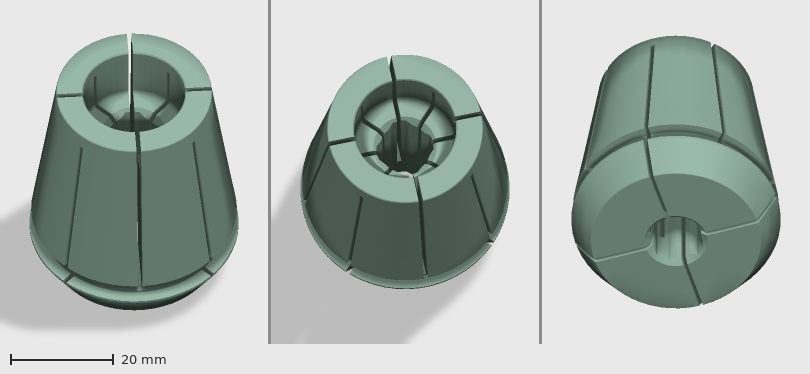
import cadquery as cq
import math

height = 46.0
flange_radius = 40.8 / 2

flange_top = 7.15
flange_rim_height = 0.55
nose_angle = 30.0
nose_edge_fillet = 0.25

groove_radius = 18.1
groove_top = 11.22
groove_fillet = 0.25

body_radius = 20.05
taper_angle = 8.0
top_edge_fillet = 0.3

bore_radius = 10.0
bore_floor = 34.25
bore_floor_fillet = 0.9
bore_mouth_chamfer = 0.25

square_side = 9.55
pilot_radius = 4.95
shank_radius = 5.55
mouth_radius = 6.15

slot_width = 0.87
nose_slot_top = 43.15
rear_slot_floor = 7.6

rim_bottom = flange_top - flange_rim_height
nose_radius = flange_radius - rim_bottom * math.tan(math.radians(nose_angle))
top_radius = body_radius - (height - groove_top) * math.tan(math.radians(taper_angle))
slot_length = 2 * height
mouth_depth = mouth_radius - square_side / 2


def cone(start_radius, end_radius, start_z, rise):
    """Truncated cone along Z; a negative rise points it downward."""
    direction = cq.Vector(0, 0, math.copysign(1, rise))
    solid = cq.Solid.makeCone(start_radius, end_radius, abs(rise), cq.Vector(0, 0, start_z), direction)
    return cq.Workplane(obj=solid)


def outer_body():
    """Revolved outside shape: nose cone, flange, groove and tapered body."""
    body = (
        cq.Workplane("XZ")
        .moveTo(0, 0)
        .lineTo(nose_radius, 0)
        .lineTo(flange_radius, rim_bottom)
        .lineTo(flange_radius, flange_top)
        .lineTo(groove_radius, flange_top)
        .lineTo(groove_radius, groove_top)
        .lineTo(body_radius, groove_top)
        .lineTo(top_radius, height)
        .lineTo(0, height)
        .close()
        .revolve(360, (0, 0, 0), (0, 1, 0))
    )
    body = body.faces("<Z").edges().fillet(nose_edge_fillet)
    body = body.faces(">Z").edges().fillet(top_edge_fillet)
    reach = (groove_radius + body_radius) / 2
    groove_box = cq.selectors.BoxSelector(
        (-reach, -reach, rim_bottom), (reach, reach, groove_top + flange_rim_height), boundingbox=True
    )
    return body.edges(groove_box).edges("%CIRCLE").fillet(groove_fillet)


def rear_bore():
    """Round bore from the top, with a filleted floor and a chamfered mouth."""
    floor_plane = cq.Workplane("XY").workplane(offset=bore_floor)
    bore = floor_plane.circle(bore_radius).extrude(height - bore_floor)
    bore = bore.faces("<Z").edges().fillet(bore_floor_fillet)
    mouth = cone(bore_radius + bore_mouth_chamfer, bore_radius, height, -bore_mouth_chamfer)
    return bore.union(mouth)


def drive_hole():
    """Round-cornered square hole with a 45 degree countersink at both ends."""
    square = cq.Workplane("XY").rect(square_side, square_side).extrude(bore_floor)
    round_bore = cq.Workplane("XY").circle(shank_radius).extrude(bore_floor)
    pilot = cq.Workplane("XY").circle(pilot_radius).extrude(bore_floor)
    hole = square.intersect(round_bore).union(pilot)
    hole = hole.union(cone(mouth_radius, square_side / 2, bore_floor, -mouth_depth))
    return hole.union(cone(mouth_radius, square_side / 2, 0, mouth_depth))


def crossed_slots(bottom, top, angle):
    """Two perpendicular slots right across the part, giving four radial slots."""
    slots = cq.Workplane("XY").workplane(offset=bottom)
    first = slots.rect(slot_length, slot_width).extrude(top - bottom)
    second = slots.rect(slot_width, slot_length).extrude(top - bottom)
    return first.union(second).rotate((0, 0, 0), (0, 0, 1), angle)


result = (
    outer_body()
    .cut(rear_bore())
    .cut(drive_hole())
    .cut(crossed_slots(0, nose_slot_top, 0))
    .cut(crossed_slots(rear_slot_floor, height, 45))
)